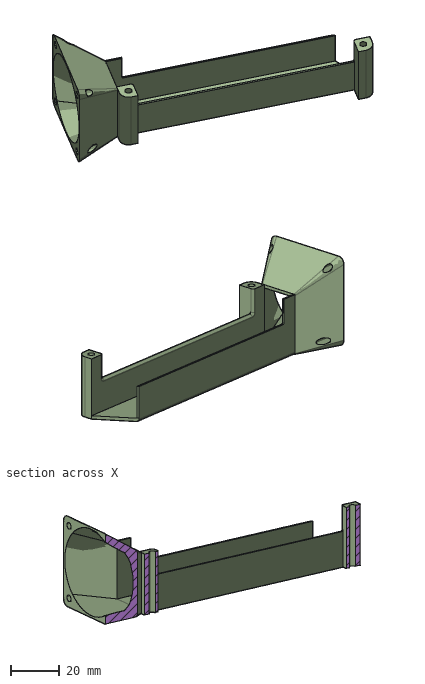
import cadquery as cq
import math

total_length = 129.9
funnel_length = 20.0
front_ear_length = 7.0
rear_ear_length = 7.3
front_ear_end = funnel_length + front_ear_length
rear_ear_start = total_length - rear_ear_length

flange_size = 40.0
flange_corner_radius = 3.0
mouth_diameter = 38.0
screw_spacing = 32.0
hole_diameter = 2.9

left_outer = -10.4
left_inner = -9.6
right_inner = 6.5
right_outer = 8.0
floor_thickness = 1.5
roof_thickness = 1.4
wall_height = 15.8
duct_height = 27.0
bottom_fillet = 1.2
throat_corner_radius = 0.5

ear_right = 14.2
ear_radius = 4.0
ear_hole_x = ear_right - ear_radius

notch_radius = 0.6
rim_fillet = 1.2
slant_rise = 10.8


def box(x_range, y_range, z_range):
    """Make a box from its limits along each axis."""
    sizes = [high - low for low, high in (x_range, y_range, z_range)]
    corner = (x_range[0], y_range[0], z_range[0])
    return cq.Workplane("XY").box(*sizes, centered=False).translate(corner)


def rectangle_wire(x_range, z_range, y):
    """Make a sharp rectangle in a plane of constant Y."""
    x_low, x_high = x_range
    z_low, z_high = z_range
    corners = [(x_low, z_low), (x_high, z_low), (x_high, z_high), (x_low, z_high)]
    points = [cq.Vector(x, y, z) for x, z in corners]
    return cq.Wire.makePolygon(points, close=True)


def rounded_rectangle_wire(x_range, z_range, radius, y):
    """Make a rectangle with equal rounded corners in a plane of constant Y."""
    wire = rectangle_wire(x_range, z_range, y)
    return wire.fillet2D(radius, wire.Vertices())


def four_arc_circle_wire(radius, z_center, y):
    """Make a circle of four arcs, which pair with the four sides of the throat."""
    def point(degrees):
        angle = math.radians(degrees)
        return cq.Vector(radius * math.cos(angle), y, z_center + radius * math.sin(angle))

    arcs = [
        cq.Edge.makeThreePointArc(point(start), point(start + 45), point(start + 90))
        for start in (225, 315, 45, 135)
    ]
    return cq.Wire.assembleEdges(arcs)


def make_funnel():
    half = flange_size / 2
    outer = cq.Solid.makeLoft([
        rounded_rectangle_wire((-half, half), (0, flange_size), flange_corner_radius, 0),
        rounded_rectangle_wire(
            (left_outer, right_outer), (0, duct_height), throat_corner_radius, funnel_length),
    ], True)
    passage = cq.Solid.makeLoft([
        four_arc_circle_wire(mouth_diameter / 2, half, 0),
        rectangle_wire(
            (left_inner, right_inner), (floor_thickness, duct_height - roof_thickness), funnel_length),
    ], True)
    screw_holes = (
        cq.Workplane("XZ", origin=(0, 0, half))
        .rect(screw_spacing, screw_spacing, forConstruction=True)
        .vertices()
        .circle(hole_diameter / 2)
        .extrude(-funnel_length)
    )
    return cq.Workplane(outer).cut(cq.Workplane(passage)).cut(screw_holes)


def make_notch(x_range):
    """Fill the space above a side wall, between the two ears."""
    notch = box(x_range, (front_ear_end, rear_ear_start), (wall_height, duct_height + 1.3))
    return notch.edges("|X and <Z").fillet(notch_radius)


def make_right_wall():
    wall = box((right_inner, right_outer), (funnel_length, total_length), (0, duct_height))
    wall = wall.cut(make_notch((right_inner, right_outer)))
    rim = cq.selectors.BoxSelector(
        (right_inner - 0.1, front_ear_end - 0.1, wall_height - 0.1),
        (right_inner + 0.1, rear_ear_start + 0.1, duct_height - 0.1),
    )
    return wall.edges(rim).fillet(rim_fillet)


def make_trough():
    y_range = (funnel_length, total_length)
    left_wall = box((left_outer, left_inner), y_range, (0, duct_height))
    left_wall = left_wall.cut(make_notch((left_outer, left_inner)))
    floor = box((left_outer, right_inner), y_range, (0, floor_thickness))
    left_side = left_wall.union(floor)
    left_side = left_side.edges("|Y and <X and <Z").fillet(bottom_fillet)
    slant = (
        cq.Workplane("XY")
        .moveTo(right_inner, total_length)
        .lineTo(left_outer, total_length - slant_rise)
        .lineTo(left_outer, total_length)
        .close()
        .extrude(duct_height)
    )
    return left_side.cut(slant).union(make_right_wall())


def make_ear(y_flat, y_round):
    """Make a full-height ear whose outer corner is rounded about its screw hole."""
    toward_center = math.copysign(1, y_flat - y_round)
    hole_y = y_round + toward_center * ear_radius
    diagonal = ear_radius * math.sqrt(0.5)
    ear = (
        cq.Workplane("XY")
        .moveTo(right_outer, y_flat)
        .lineTo(ear_right, y_flat)
        .lineTo(ear_right, hole_y)
        .threePointArc(
            (ear_hole_x + diagonal, hole_y - toward_center * diagonal), (ear_hole_x, y_round))
        .lineTo(right_outer, y_round)
        .close()
        .extrude(duct_height)
    )
    hole = (
        cq.Workplane("XY")
        .center(ear_hole_x, hole_y)
        .circle(hole_diameter / 2)
        .extrude(duct_height)
    )
    return ear, hole


result = make_funnel().union(make_trough())
for flat_side, round_side in ((front_ear_end, funnel_length), (rear_ear_start, total_length)):
    ear_body, ear_hole = make_ear(flat_side, round_side)
    result = result.union(ear_body).cut(ear_hole)